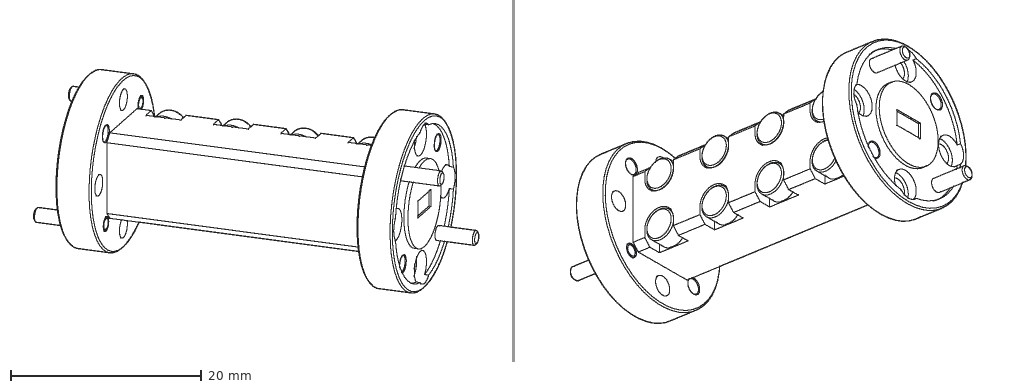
import cadquery as cq
import math

total_length = 45.85
body_length = 30.0
flange_thickness = 4.0
flange_outer_x = body_length / 2 + flange_thickness
pin_tip_x = total_length / 2

body_width = 9.6
body_chamfer = 0.83

flange_diameter = 19.05
flange_chamfer = 0.2
relief_depth = 0.45
boss_diameter = body_width
rim_inner_diameter = 17.0
window_width = 3.75
window_height = 1.9
window_depth = 0.25

bolt_circle_radius = 7.15
bolt_hole_diameter = 2.3
counterbore_diameter = 3.55
counterbore_depth = 1.55
dowel_offset = bolt_circle_radius * math.sin(math.radians(45))
pin_diameter = 1.6
free_hole_diameter = 1.75
free_hole_chamfer = 0.1
pin_chamfer = 0.2

screw_pitch = 7.6
screw_count = 4
screw_offset_z = 3.03
head_diameter = 3.7
head_chamfer = 0.2
slot_width = 3.95
slot_depth = 2.4

cut_margin = 0.45


def rod(start, direction, diameter, length):
    """Round rod from a start point along a direction."""
    return cq.Workplane(cq.Solid.makeCylinder(diameter / 2, length, cq.Vector(*start), cq.Vector(*direction)))


def make_bar():
    """Square bar with its four long edges chamfered."""
    bar = cq.Workplane("XY").box(body_length, body_width, body_width)
    return bar.edges("|X").chamfer(body_chamfer)


def bolt_centres():
    """Four (y, z) places on the bolt circle."""
    r = bolt_circle_radius
    return [(r, 0), (0, r), (-r, 0), (0, -r)]


def dowel_centres(side):
    """Two (y, z) places of the pins carried by the flange on one side (-1 or +1)."""
    d = dowel_offset
    return [(d, -side * d), (-d, side * d)]


def make_flange(side):
    """Round flange with its outer face relieved between a central boss and a rim."""
    inner_x = side * body_length / 2
    outer_x = side * flange_outer_x
    outward = (side, 0, 0)
    inward = (-side, 0, 0)

    flange = rod((inner_x, 0, 0), outward, flange_diameter, flange_thickness)
    flange = flange.edges("%CIRCLE").chamfer(flange_chamfer)

    relief = rod((outer_x, 0, 0), inward, rim_inner_diameter, relief_depth)
    relief = relief.cut(rod((outer_x, 0, 0), inward, boss_diameter, relief_depth))
    flange = flange.cut(relief)

    window = cq.Workplane("XY").box(2 * window_depth, window_width, window_height)
    flange = flange.cut(window.translate((outer_x, 0, 0)))

    for y, z in bolt_centres():
        flange = flange.cut(rod((inner_x, y, z), outward, bolt_hole_diameter, flange_thickness))
        flange = flange.cut(rod((outer_x, y, z), inward, counterbore_diameter, counterbore_depth))

    for y, z in dowel_centres(side):
        flange = flange.cut(rod((inner_x, y, z), outward, pin_diameter, flange_thickness))

    for y, z in dowel_centres(-side):
        flange = flange.cut(rod((inner_x, y, z), outward, free_hole_diameter, flange_thickness))
        flange = flange.cut(mouth_cutter(inner_x, y, z, side))
        flange = flange.cut(mouth_cutter(outer_x - side * relief_depth, y, z, -side))
    return flange


def mouth_cutter(face_x, y, z, into_flange):
    """Cone chamfering a free dowel hole; into_flange is the X direction (-1 or +1) into the metal."""
    hole_radius = free_hole_diameter / 2
    mouth_radius = hole_radius + free_hole_chamfer
    mouth = cq.Vector(face_x, y, z)
    axis = cq.Vector(into_flange, 0, 0)
    return cq.Workplane(cq.Solid.makeCone(mouth_radius, hole_radius, free_hole_chamfer, mouth, axis))


def screw_centres():
    """(x, z) places of the screw heads, in pairs above and below the bar's axis."""
    first_x = -screw_pitch * (screw_count - 1) / 2
    places_x = [first_x + i * screw_pitch for i in range(screw_count)]
    return [(x, z) for x in places_x for z in (screw_offset_z, -screw_offset_z)]


def make_slot(x, z):
    """Round-bottomed slot, open to the +Y face and to the nearest of the top and bottom faces."""
    face_y = body_width / 2
    open_height = body_width / 2 - abs(z) + cut_margin
    round_end = rod((x, face_y, z), (0, -1, 0), slot_width, slot_depth)
    open_end = cq.Workplane("XY").box(slot_width, slot_depth, open_height)
    open_z = z + math.copysign(open_height / 2, z)
    return round_end.union(open_end.translate((x, face_y - slot_depth / 2, open_z)))


def make_head(x, z):
    """Screw head standing on the slot floor, level with the +Y face."""
    head = rod((x, body_width / 2 - slot_depth, z), (0, 1, 0), head_diameter, slot_depth)
    return head.edges("%CIRCLE").chamfer(head_chamfer)


def make_housing():
    """Bar, both flanges and the screw heads as one solid."""
    housing = make_bar()
    for x, z in screw_centres():
        housing = housing.cut(make_slot(x, z))
        housing = housing.union(make_head(x, z))
    for side in (-1, 1):
        housing = housing.union(make_flange(side))
    return housing


def make_pin(side, y, z):
    """Dowel pin running through a flange and standing out from its outer face."""
    inner_x = side * body_length / 2
    pin = rod((inner_x, y, z), (side, 0, 0), pin_diameter, pin_tip_x - body_length / 2)
    return pin.edges("%CIRCLE").chamfer(pin_chamfer)


housing = make_housing()
pins = [make_pin(side, y, z) for side in (-1, 1) for y, z in dowel_centres(side)]

result = cq.Compound.makeCompound([housing.solids().val(), *[pin.val() for pin in pins]])